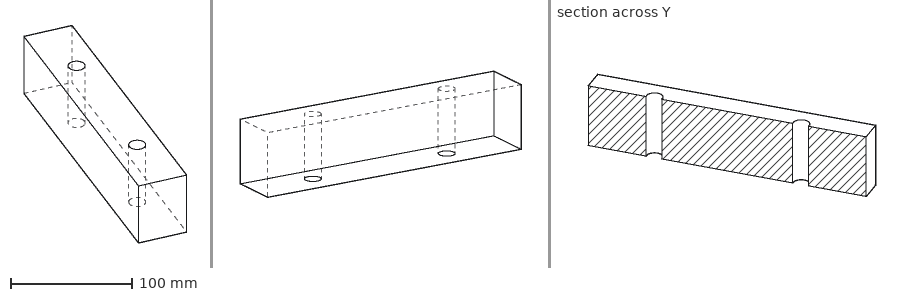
import cadquery as cq

length = 246.0
width = 43.0
height = 56.0

hole_diameter = 14.0
hole_spacing = 130.0
hole_offset_y = 1.5

bar = cq.Workplane("XY").box(length, width, height)

hole_centres = [(side * hole_spacing / 2, hole_offset_y) for side in (-1, 1)]
result = bar.faces(">Z").workplane(origin=(0, 0, 0)).pushPoints(hole_centres).hole(hole_diameter)